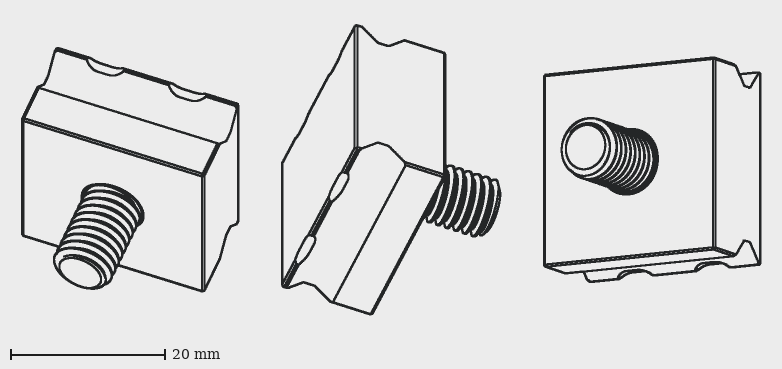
import cadquery as cq
import math

block_side = 25.4
block_depth = 12.7
edge_chamfer = 0.25
back_chamfer = 0.3

groove_width = 6.5
groove_center_y = 8.81
groove_depth = 2.5
groove_corner_radius = 0.25

notch_spacing = 11.43
notch_depth = 0.75
notch_flat = 1.52
notch_radius = 2.55

stud_diameter = 7.92
stud_length = 11.63
stud_tip_diameter = 5.85
stud_tip_length = 0.7
thread_pitch = 1.25
thread_flank_angle = math.radians(30)
thread_flat = 0.18
thread_crest_start = 0.48
ridge_overlap = 0.05
stud_hole_depth = 6.35
hole_mouth_diameter = 8.64
hole_mouth_depth = 0.2

half_side = block_side / 2
stud_radius = stud_diameter / 2


def make_v_groove():
    """Cutter for the groove in the top face: 45 degree flanks and a flat floor."""
    half_top = groove_width / 2
    half_floor = half_top - groove_depth
    profile = [
        (groove_center_y - half_top, half_side),
        (groove_center_y - half_floor, half_side - groove_depth),
        (groove_center_y + half_floor, half_side - groove_depth),
        (groove_center_y + half_top, half_side),
    ]
    groove = cq.Workplane("YZ").polyline(profile).close().extrude(half_side, both=True)
    return groove.edges("|X and <Z").fillet(groove_corner_radius)


def make_notch(center_x):
    """Cutter for one notch in the top lip: a flat floor between two rounded sides."""
    half_flat = notch_flat / 2
    floor_z = half_side - notch_depth
    arc_center_z = floor_z + notch_radius

    def arc_point(side, angle):
        x = side * (half_flat + notch_radius * math.sin(angle))
        return (x, arc_center_z - notch_radius * math.cos(angle))

    end_angle = math.acos(1 - notch_depth / notch_radius)
    notch = (
        cq.Workplane("XZ")
        .moveTo(*arc_point(-1, end_angle))
        .threePointArc(arc_point(-1, end_angle / 2), (-half_flat, floor_z))
        .lineTo(half_flat, floor_z)
        .threePointArc(arc_point(1, end_angle / 2), arc_point(1, end_angle))
        .close()
        .extrude(groove_center_y - block_depth)
    )
    return notch.translate((center_x, groove_center_y, 0))


def cut_top_and_bottom(body, cutter):
    """Remove a cutter from the top of the body and its mirror image from the bottom."""
    return body.cut(cutter).cut(cutter.mirror("XY"))


def make_stud_hole():
    """Cutter for the blind stud hole with a wider, 45 degree mouth at Y = 0."""
    profile = [
        (0, 0),
        (hole_mouth_diameter / 2, 0),
        (hole_mouth_diameter / 2 - hole_mouth_depth, hole_mouth_depth),
        (stud_radius, hole_mouth_depth),
        (stud_radius, stud_hole_depth),
        (0, stud_hole_depth),
    ]
    return cq.Workplane("XY").polyline(profile).close().revolve(360, (0, 0), (0, 1))


def make_block():
    block = cq.Workplane("XY").box(block_side, block_depth, block_side)
    block = block.translate((0, block_depth / 2, 0))
    block = block.faces(">Y").edges().chamfer(back_chamfer)
    block = block.edges("<Y or |Y").chamfer(edge_chamfer)
    block = cut_top_and_bottom(block, make_v_groove())
    for side in (-1, 1):
        block = cut_top_and_bottom(block, make_notch(side * notch_spacing / 2))
    return block.cut(make_stud_hole())


def make_cylinder(radius, start, end):
    """Cylinder around Z from start to end."""
    return cq.Workplane("XY", origin=(0, 0, start)).circle(radius).extrude(end - start)


def make_thread_ridge(start, root_radius):
    """Helical ridge along Z that runs from below start to beyond the tip of the stud."""
    base_radius = root_radius - ridge_overlap
    half_crest = thread_flat / 2
    half_base = half_crest + (stud_radius - base_radius) * math.tan(thread_flank_angle)
    turns_below = math.ceil((thread_crest_start - start) / thread_pitch) + 1
    turns_above = math.ceil((stud_length - thread_crest_start) / thread_pitch) + 1
    first_crest = thread_crest_start - turns_below * thread_pitch
    height = (turns_below + turns_above) * thread_pitch
    profile = [
        (base_radius, first_crest - half_base),
        (stud_radius, first_crest - half_crest),
        (stud_radius, first_crest + half_crest),
        (base_radius, first_crest + half_base),
    ]
    helices = [
        cq.Wire.makeHelix(thread_pitch, height, radius).translate(cq.Vector(0, 0, z))
        for radius, z in profile
    ]
    next_helices = helices[1:] + helices[:1]
    faces = [cq.Face.makeRuledSurface(helix, other) for helix, other in zip(helices, next_helices)]
    for end_z in (0, height):
        corners = [cq.Vector(radius, 0, z + end_z) for radius, z in profile]
        faces.append(cq.Face.makeFromWires(cq.Wire.makePolygon(corners, close=True)))
    return cq.Workplane(cq.Solid.makeSolid(cq.Shell.makeShell(faces)))


def make_stud():
    """Stud with a plain shank in the hole and a thread that starts in the hole's mouth."""
    thread_start = -hole_mouth_depth
    thread_depth = (thread_pitch / 2 - thread_flat) / math.tan(thread_flank_angle)
    root_radius = stud_radius - thread_depth
    tip_inset = (stud_diameter - stud_tip_diameter) / 2

    core = make_cylinder(root_radius, -stud_length, 2 * stud_length)
    outline = make_cylinder(stud_radius, thread_start, stud_length)
    outline = outline.faces(">Z").chamfer(stud_tip_length, tip_inset)
    threaded = core.union(make_thread_ridge(thread_start, root_radius)).intersect(outline)

    shank = make_cylinder(stud_radius, -stud_hole_depth, thread_start)
    return threaded.union(shank).rotate((0, 0, 0), (1, 0, 0), 90)


block = make_block()
stud = make_stud()

result = cq.Compound.makeCompound([block.val(), stud.val()])